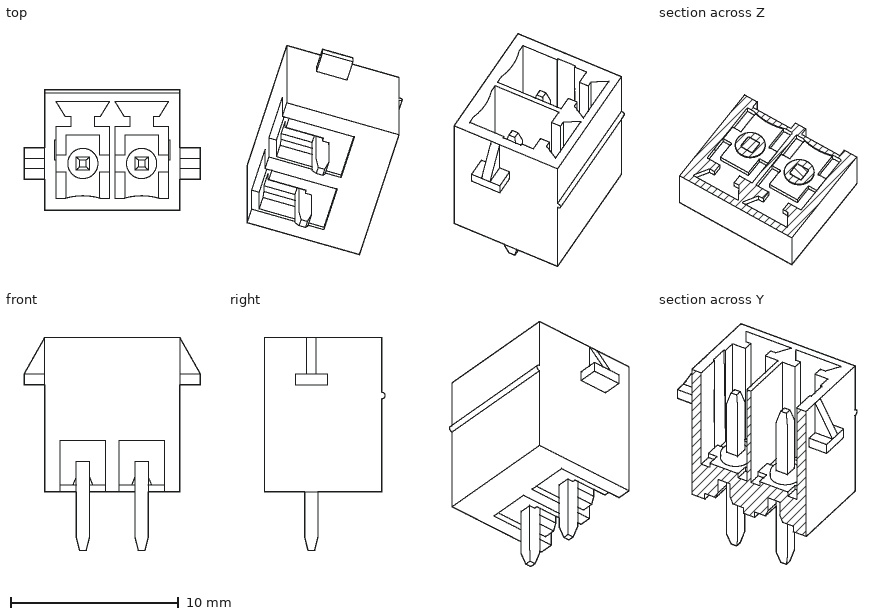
import cadquery as cq

pitch = 3.5
pin_xs = (-pitch / 2, pitch / 2)

body_width = 8.05
body_height = 9.2
front_y = -2.8
back_y = 4.2

cavity_half_width = 1.6
cavity_front_y = -2.1
cavity_shoulder_y = 2.2
floor_z = 2.5
keyway_half_width = 0.7
dovetail_start_y = 2.8
dovetail_end_y = 3.7
dovetail_half_width = 1.05
bulge_half_width = 1.125
bulge_height = 0.18

relief_depth = 0.1
relief_start_y = 0.2
relief_end_y = 1.4

cross_height = 0.3
cross_stem_width = 2.0
cross_back_y = 1.7
cross_bar_depth = 1.0
boss_diameter = 1.8
boss_height = 0.8
boss_round = 0.2

window_width = 2.72
window_height = 3.05
window_depth = 0.47
recess_height = 0.4
recess_back_y = cross_back_y

slot_height = 1.8
flare_top_z = 0.87
flare_half_width = 0.6

latch_span = 10.5
latch_reach = (latch_span - body_width) / 2
latch_top_z = 7.03
latch_thickness = 0.65
latch_plate_width = 1.9
latch_rib_width = 0.57

ridge_z = 5.74
ridge_radius = 0.2

pin_size = 0.8
pin_end_size = 0.4
pin_taper = 0.8
pin_bottom_z = -3.5
pin_top_z = 7.6


def block(x_size, y_start, y_end, z_start, z_end, x=0.0):
    """Box centred on x, spanning the given Y and Z ranges."""
    size = (x_size, y_end - y_start, z_end - z_start)
    return cq.Workplane("XY").box(*size, centered=(True, False, False)).translate((x, y_start, z_start))


def cavity(x):
    """Plug cavity with a dovetail keyway at the back and a bulging front wall."""
    return (
        cq.Workplane("XY", origin=(x, 0, floor_z))
        .moveTo(-cavity_half_width, cavity_front_y)
        .lineTo(-bulge_half_width, cavity_front_y)
        .threePointArc((0, cavity_front_y + bulge_height), (bulge_half_width, cavity_front_y))
        .lineTo(cavity_half_width, cavity_front_y)
        .lineTo(cavity_half_width, cavity_shoulder_y)
        .lineTo(keyway_half_width, cavity_shoulder_y)
        .lineTo(keyway_half_width, dovetail_start_y)
        .lineTo(dovetail_half_width, dovetail_start_y)
        .lineTo(cavity_half_width, dovetail_end_y)
        .lineTo(-cavity_half_width, dovetail_end_y)
        .lineTo(-dovetail_half_width, dovetail_start_y)
        .lineTo(-keyway_half_width, dovetail_start_y)
        .lineTo(-keyway_half_width, cavity_shoulder_y)
        .lineTo(-cavity_half_width, cavity_shoulder_y)
        .close()
        .extrude(body_height - floor_z)
    )


def relief():
    """Wedge cut into the +X cavity wall, deepest at the top and vanishing at the floor."""
    wall_x = pitch / 2 + cavity_half_width
    return (
        cq.Workplane("XZ", origin=(0, relief_end_y, 0))
        .polyline([(wall_x, floor_z), (wall_x + relief_depth, body_height), (wall_x, body_height)])
        .close()
        .extrude(relief_end_y - relief_start_y)
    )


def floor_cross(x):
    """Raised cross on the cavity floor, kept within the cavity outline."""
    top_z = floor_z + cross_height
    stem = block(cross_stem_width, cavity_front_y, cross_back_y, floor_z, top_z, x)
    bar = block(2 * cavity_half_width, -cross_bar_depth / 2, cross_bar_depth / 2, floor_z, top_z, x)
    return stem.union(bar)


def pin_boss(x):
    """Round boss with a rounded rim, through which the pin rises."""
    return (
        cq.Workplane("XY", origin=(x, 0, floor_z))
        .circle(boss_diameter / 2)
        .extrude(boss_height)
        .faces(">Z")
        .edges()
        .fillet(boss_round)
    )


def window(x):
    """Shallow opening in the front wall, with a low recess running back under the floor."""
    opening = block(window_width, front_y, front_y + window_depth, 0, window_height, x)
    recess = block(window_width, front_y, recess_back_y, 0, recess_height, x)
    return opening.union(recess)


def pin_slot(x):
    """Slot from the front wall to the pin axis, flared towards its lower end."""
    return (
        cq.Workplane("XZ", origin=(x, 0, 0))
        .polyline([
            (-flare_half_width, recess_height),
            (flare_half_width, recess_height),
            (pin_size / 2, flare_top_z),
            (pin_size / 2, slot_height),
            (-pin_size / 2, slot_height),
            (-pin_size / 2, flare_top_z),
        ])
        .close()
        .extrude(-front_y)
    )


def latch():
    """Latch on the +X wall: a flat plate braced by a sloping rib."""
    wall_x = body_width / 2
    tip_x = wall_x + latch_reach
    plate = block(
        latch_reach, -latch_plate_width / 2, latch_plate_width / 2,
        latch_top_z - latch_thickness, latch_top_z, wall_x + latch_reach / 2,
    )
    rib = (
        cq.Workplane("XZ")
        .polyline([(wall_x, latch_top_z), (tip_x, latch_top_z), (wall_x, body_height)])
        .close()
        .extrude(latch_rib_width / 2, both=True)
    )
    return plate.union(rib)


def back_ridge():
    """Rounded ridge across the full width of the back wall."""
    return (
        cq.Workplane("YZ", origin=(-body_width / 2, 0, 0))
        .moveTo(back_y, ridge_z - ridge_radius)
        .threePointArc((back_y + ridge_radius, ridge_z), (back_y, ridge_z + ridge_radius))
        .close()
        .extrude(body_width)
    )


def pin_tip(x, start_z, run):
    """Tapered pin end that starts at start_z and runs up or down by run."""
    return (
        cq.Workplane("XY", origin=(x, 0, start_z))
        .rect(pin_size, pin_size)
        .workplane(offset=run)
        .rect(pin_end_size, pin_end_size)
        .loft(combine=True)
    )


def pin(x):
    """Straight square pin, tapered at both ends."""
    shank_bottom_z = pin_bottom_z + pin_taper
    shank_top_z = pin_top_z - pin_taper
    shank = block(pin_size, -pin_size / 2, pin_size / 2, shank_bottom_z, shank_top_z, x)
    return shank.union(pin_tip(x, shank_top_z, pin_taper)).union(pin_tip(x, shank_bottom_z, -pin_taper))


def pin_hole(x):
    """Square hole that the pin fills, through the floor and the boss."""
    return block(pin_size, -pin_size / 2, pin_size / 2, 0, floor_z + boss_height, x)


housing = block(body_width, front_y, back_y, 0, body_height)
for x in pin_xs:
    housing = housing.cut(cavity(x).cut(floor_cross(x)).cut(pin_boss(x)))
    housing = housing.cut(window(x)).cut(pin_slot(x)).cut(pin_hole(x))
housing = housing.cut(relief()).cut(relief().mirror("YZ"))
housing = housing.union(latch()).union(latch().mirror("YZ")).union(back_ridge())

pins = [pin(x) for x in pin_xs]

result = cq.Compound.makeCompound([housing.val(), *[p.val() for p in pins]])